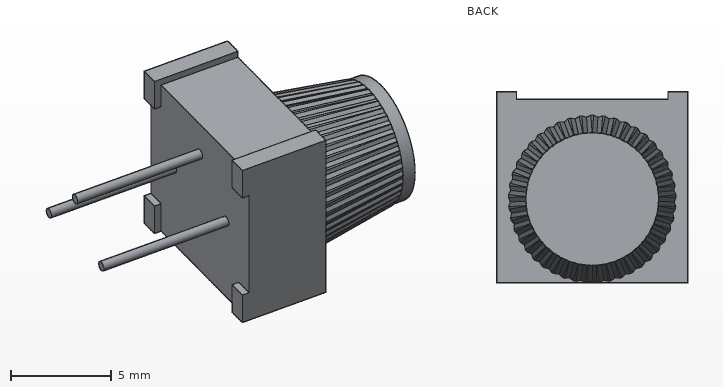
import cadquery as cq
import math


OVERALL_LENGTH = 17.78

HOUSING_WIDTH = 9.53
HOUSING_DEPTH = 4.46
RAIL_WIDTH = 1.0
TOP_RECESS = 0.37
FOOT_HEIGHT = 1.72
FOOT_LENGTH = 0.4

KNOB_LENGTH = 6.06
RIM_LENGTH = 0.71
RIM_RADIUS = 3.3
SKIRT_TIP_RADIUS = 3.35
SKIRT_BASE_RADIUS = 4.18
GROOVE_COUNT = 45
GROOVE_WIDTH = 0.48
GROOVE_DEPTH = 0.092

PIN_DIAMETER = 0.52
PIN_PITCH = 2.55

HALF_WIDTH = HOUSING_WIDTH / 2
KNOB_AXIS_Z = SKIRT_BASE_RADIUS - HALF_WIDTH
SKIRT_LENGTH = KNOB_LENGTH - RIM_LENGTH
PIN_LENGTH = OVERALL_LENGTH - KNOB_LENGTH - HOUSING_DEPTH


def make_housing():
    """Square block with a recess between two top rails and a foot at each rear corner."""
    block = (
        cq.Workplane("XY", origin=(0, -HOUSING_DEPTH / 2, 0))
        .box(HOUSING_WIDTH, HOUSING_DEPTH, HOUSING_WIDTH)
    )

    foot_x = HALF_WIDTH - RAIL_WIDTH / 2
    foot_z = HALF_WIDTH - FOOT_HEIGHT / 2
    feet = (
        cq.Workplane("XZ", origin=(0, -HOUSING_DEPTH, 0))
        .rect(2 * foot_x, 2 * foot_z, forConstruction=True)
        .vertices()
        .rect(RAIL_WIDTH, FOOT_HEIGHT)
        .extrude(FOOT_LENGTH)
    )

    recess = (
        cq.Workplane("XY", origin=(0, -HOUSING_DEPTH / 2, HALF_WIDTH - TOP_RECESS))
        .rect(HOUSING_WIDTH - 2 * RAIL_WIDTH, HOUSING_DEPTH)
        .extrude(TOP_RECESS)
    )
    return block.union(feet).cut(recess)


def make_groove_cutter():
    """V-shaped prism of constant section that follows the top line of the conical skirt."""
    slope_angle = math.atan2(SKIRT_BASE_RADIUS - SKIRT_TIP_RADIUS, SKIRT_LENGTH)
    slope_length = math.hypot(SKIRT_BASE_RADIUS - SKIRT_TIP_RADIUS, SKIRT_LENGTH)
    overrun = 2 * GROOVE_DEPTH
    clearance = GROOVE_DEPTH
    mouth_half_width = GROOVE_WIDTH / 2 * (GROOVE_DEPTH + clearance) / GROOVE_DEPTH

    section = cq.Plane(
        origin=(0, 0, SKIRT_BASE_RADIUS),
        xDir=(1, 0, 0),
        normal=(0, math.cos(slope_angle), -math.sin(slope_angle)),
    )
    return (
        cq.Workplane(section)
        .workplane(offset=-overrun)
        .moveTo(0, GROOVE_DEPTH)
        .lineTo(mouth_half_width, -clearance)
        .lineTo(-mouth_half_width, -clearance)
        .close()
        .extrude(slope_length + 2 * overrun)
    )


def make_knob():
    """Grooved conical skirt with a plain cylindrical rim at its small end."""
    skirt = (
        cq.Workplane("XY")
        .polyline([(0, 0), (SKIRT_BASE_RADIUS, 0), (SKIRT_TIP_RADIUS, SKIRT_LENGTH), (0, SKIRT_LENGTH)])
        .close()
        .revolve(360, (0, 0, 0), (0, 1, 0))
    )

    step = 360 / GROOVE_COUNT
    cutter = make_groove_cutter().val()
    cutters = [
        cutter.rotate((0, 0, 0), (0, 1, 0), (index + 0.5) * step)
        for index in range(GROOVE_COUNT)
    ]
    grooved_skirt = cq.Workplane(skirt.val().cut(*cutters))

    rim = cq.Workplane("XZ", origin=(0, SKIRT_LENGTH, 0)).circle(RIM_RADIUS).extrude(-RIM_LENGTH)
    return grooved_skirt.union(rim).translate((0, 0, KNOB_AXIS_Z))


def make_pin(x, z):
    """Straight round pin standing on the rear face of the housing."""
    return (
        cq.Workplane("XZ", origin=(x, -HOUSING_DEPTH, z))
        .circle(PIN_DIAMETER / 2)
        .extrude(PIN_LENGTH)
    )


housing = make_housing()
knob = make_knob()
pin_places = [(-PIN_PITCH, 0), (0, PIN_PITCH), (PIN_PITCH, 0)]
pins = [make_pin(x, z) for x, z in pin_places]

result = cq.Compound.makeCompound(
    [housing.solids().val(), knob.solids().val(), *[pin.val() for pin in pins]]
)